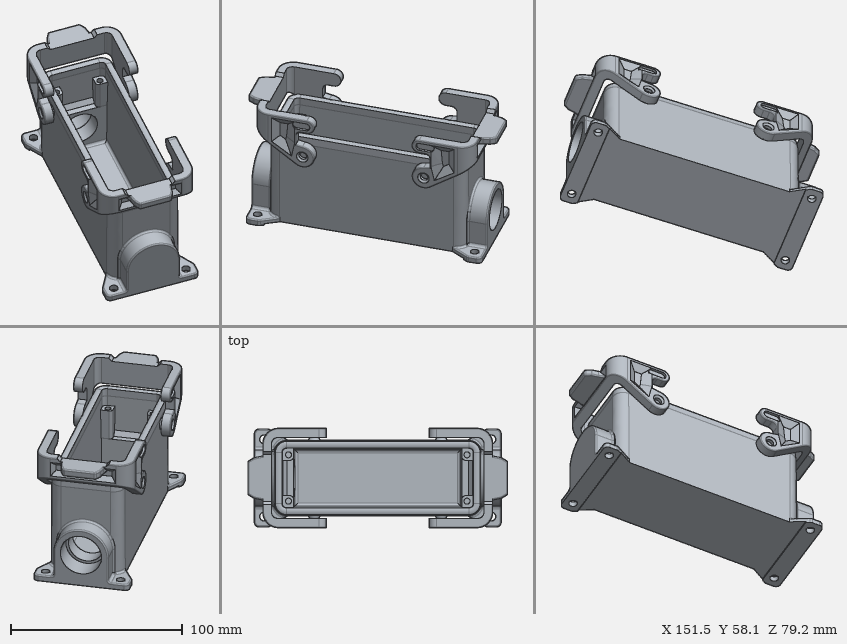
import cadquery as cq
import math

BODY_HALF_X = 60.1
BODY_HALF_Y = 21.8
BODY_CORNER_R = 7.0
BODY_BOTTOM_Z = 0.9
BODY_DRAFT_DEG = 0.3
RIM_START_Z = 57.6
RIM_TOP_Z = 62.3
RIM_DRAFT_DEG = 5.0
RIM_WALL = 3.9
RIM_CROWN = 0.5
RIM_INSET = (RIM_TOP_Z - RIM_START_Z) * math.tan(math.radians(RIM_DRAFT_DEG))

CAVITY_INSET = RIM_INSET + RIM_WALL
CAVITY_HALF_X = BODY_HALF_X - CAVITY_INSET
CAVITY_HALF_Y = BODY_HALF_Y - CAVITY_INSET
CAVITY_CORNER_R = BODY_CORNER_R - CAVITY_INSET
CAVITY_DRAFT_DEG = 1.4
FLOOR_Z = 4.5
FLOOR_FILLET = 1.7
SHELF_INNER_X = 49.1
SHELF_Z = 33.0
SHELF_DRAFT_DEG = 2.0
RAMP_TOP_Z = 36.5
RAMP_FOOT_X = 52.8
POST_TOP_Z = 51.4
POST_INNER_Y = 10.3
POST_CORNER_R = 2.0
POST_HOLE_X = 52.0
POST_HOLE_Y = 13.5
POST_HOLE_R = 1.75
POST_HOLE_DEPTH = 12.0

FOOT_END_X = 72.0
BOSS_R = 16.4
BOSS_AXIS_Z = 20.1
BOSS_BLEND_R = 1.2
STEP_X = 60.9
BORE_R = 12.3
BORE_DEPTH = 13.5
INNER_BORE_R = 10.7
INNER_BORE_DEPTH = 25.0
FOOT_HALF_Y = 28.6
FOOT_TOP_Z = 3.8
FOOT_OUTER_X = 63.6
FOOT_ROOT_X = 52.7
FOOT_ROOT_Y = 22.2
FOOT_CORNER_R = 2.9
FOOT_EDGE_R = 0.8
FOOT_BLEND_R = 1.7
BODY_FOOT_BLEND_R = 1.2
FOOT_HOLE_X = 66.3
FOOT_HOLE_Y = 22.5
FOOT_HOLE_R = 2.45

LEVER_TOP_Z = 79.2
LEVER_END_X = 67.0
LEVER_HALF_Y = 58.07 / 2
LEVER_CORNER_R = 9.2
ARM_THICKNESS = 5.5
END_THICKNESS = 5.1
INNER_CORNER_R = 3.6
ARM_EDGE_R = 0.5
END_BOTTOM_Z = 65.7
PIVOT_X = 37.0
PIVOT_Z = 53.6
PIVOT_R = 7.0
HOOK_R = 4.35
HOOK_TIP_X = 29.9
THROAT_X = 41.0
THROAT_BOTTOM_Z = 61.4
THROAT_R = 3.2

PIN_BASE_R = 3.6
PIN_R = 2.8
PIN_OVERLAP = 0.3
PIN_SINK_R = 3.5
PIN_SINK_DEPTH = 1.2
PIN_HOLE_R = 2.3
PIN_HOLE_DEPTH = 3.0

POCKET_DEPTH = 3.2
ARM_POCKET_MOUTH = [(-55.7, 77.2), (-41.6, 77.2), (-41.6, 62.5), (-43.6, 53.0), (-55.7, 60.8)]
ARM_POCKET_FLOOR = [(-51.5, 72.8), (-46.8, 72.8), (-47.6, 64.0), (-48.2, 61.8), (-51.5, 64.0)]
GROOVE_DEPTH = 1.5
GROOVE_TIP_X = 32.4
GROOVE_ROOT_X = 43.2
GROOVE_TOP_Z = 77.2
GROOVE_BOTTOM_Z = 72.4
END_POCKET_HALF_Y = 19.5
END_POCKET_TOP_Z = 76.2
END_POCKET_BOTTOM_Z = 67.3
END_POCKET_DEPTH = 3.0
END_POCKET_TAPER_DEG = 42.0

TAB_TOP_Z = 77.3
TAB_BOTTOM_Z = 72.8
TAB_END_X = 151.5 / 2
TAB_EDGE_R = 0.8
TAB_CORNER_R = 1.5
TAB_OUTLINE = [(14.5, 0.0), (12.6, 6.4), (11.8, 10.3), (9.7, TAB_END_X - LEVER_END_X + END_THICKNESS)]
NOTCH_HALF_Y = 13.6

REACH = 100.0
GAP = 0.1


def both_ends(shape):
    return shape.union(shape.mirror("YZ"))


def both_sides(shape):
    return shape.union(shape.mirror("XZ"))


def rounded_rect_prism(half_x, half_y, corner_r, start_z, height, draft_deg=0.0):
    """Round-cornered block that shrinks by the draft angle along its extrusion."""
    plane = cq.Workplane("XY", origin=(0, 0, start_z))
    outline = plane.sketch().rect(2 * half_x, 2 * half_y).vertices().fillet(corner_r).finalize()
    return outline.extrude(height, taper=draft_deg)


def body_outer():
    lower = rounded_rect_prism(
        BODY_HALF_X, BODY_HALF_Y, BODY_CORNER_R, RIM_START_Z, BODY_BOTTOM_Z - RIM_START_Z, -BODY_DRAFT_DEG
    )
    rim = rounded_rect_prism(
        BODY_HALF_X, BODY_HALF_Y, BODY_CORNER_R, RIM_START_Z, RIM_TOP_Z - RIM_START_Z, RIM_DRAFT_DEG
    )
    return lower.union(rim)


def rim_crown():
    """Low rounded ridge swept along the middle of the rim wall."""
    inset = RIM_INSET + RIM_WALL / 2
    half_x = BODY_HALF_X - inset
    half_y = BODY_HALF_Y - inset
    corner_r = BODY_CORNER_R - inset
    path = rounded_rect_prism(half_x, half_y, corner_r, RIM_TOP_Z, RIM_CROWN).faces("<Z").wires()
    profile = (
        cq.Workplane("XZ", origin=(0, -half_y, RIM_TOP_Z)).transformed(rotate=(0, 90, 0))
        .moveTo(-RIM_WALL / 2, 0)
        .threePointArc((0, RIM_CROWN), (RIM_WALL / 2, 0))
        .close()
    )
    return profile.sweep(path)


def boss_arch(radius, start_x, end_x):
    """Arch on straight legs, standing on the foot plane between two X positions."""
    length = end_x - start_x
    face = cq.Workplane("YZ", origin=(start_x, 0, 0))
    crown = face.center(0, BOSS_AXIS_Z).circle(radius).extrude(length)
    legs = face.center(0, BOSS_AXIS_Z / 2).rect(2 * radius, BOSS_AXIS_Z).extrude(length)
    return crown.union(legs).clean()


def boss_flare():
    """Concave collar between the boss and the end wall of the body."""
    root_x = -BODY_HALF_X
    half_y = BOSS_R + 2 * BOSS_BLEND_R
    wall = cq.Workplane("YZ", origin=(root_x, 0, 0)).rect(2 * half_y, REACH).extrude(-root_x - SHELF_INNER_X)
    flare = boss_arch(BOSS_R, root_x - 2 * BOSS_BLEND_R, -SHELF_INNER_X).union(wall)
    junction = cq.selectors.BoxSelector(
        (root_x - GAP, -BOSS_R - GAP, GAP), (root_x + GAP, BOSS_R + GAP, BOSS_AXIS_Z + BOSS_R)
    )
    flare = flare.edges(junction).fillet(BOSS_BLEND_R)
    return flare.intersect(boss_arch(BOSS_R + BOSS_BLEND_R, -FOOT_END_X, -SHELF_INNER_X))


def foot_plate():
    """Both -X feet as one plate with round outer corners, slanting back to the body sides."""
    half = [
        (-FOOT_ROOT_X, FOOT_ROOT_Y),
        (-FOOT_OUTER_X, FOOT_HALF_Y),
        (-FOOT_END_X, FOOT_HALF_Y),
    ]
    outline = half + [(x, -y) for x, y in reversed(half)]
    plate = cq.Workplane("XY").polyline(outline).close().extrude(FOOT_TOP_Z)
    return plate.edges("|Z").edges("not >X").fillet(FOOT_CORNER_R)


def end_base():
    """Feet and cable entry boss at the -X end, blended together, with a rounded upper rim."""
    base = foot_plate().union(boss_arch(BOSS_R, -FOOT_END_X, -FOOT_ROOT_X))
    joints = cq.selectors.BoxSelector(
        (-FOOT_END_X, -BOSS_R - GAP, FOOT_TOP_Z - GAP), (-BODY_HALF_X, BOSS_R + GAP, FOOT_TOP_Z + GAP)
    )
    base = base.edges("|X").edges(joints).fillet(FOOT_BLEND_R)
    return base.faces("<X").edges("not <Z").fillet(FOOT_EDGE_R)


def blend_feet(shell):
    """Fillets the feet into the round corners of the body."""
    corners = shell.edges("%CIRCLE").edges(foot_corner_zone(1) + foot_corner_zone(-1))
    return corners.fillet(BODY_FOOT_BLEND_R)


def foot_corner_zone(side):
    """Box around the meeting line of a -X foot and the body corner on one side."""
    y_limits = sorted((side * (BOSS_R + BOSS_BLEND_R), side * BODY_HALF_Y))
    low = (-BODY_HALF_X, y_limits[0], FOOT_TOP_Z - GAP)
    high = (-FOOT_ROOT_X, y_limits[1], FOOT_TOP_Z + GAP)
    return cq.selectors.BoxSelector(low, high)


def foot_underside_step():
    return (
        cq.Workplane("XY", origin=(0, 0, BODY_BOTTOM_Z - REACH))
        .rect(2 * STEP_X, REACH).extrude(REACH)
    )


def foot_holes():
    spots = [(sx * FOOT_HOLE_X, sy * FOOT_HOLE_Y) for sx in (-1, 1) for sy in (-1, 1)]
    return cq.Workplane("XY").pushPoints(spots).circle(FOOT_HOLE_R).extrude(FOOT_TOP_Z)


def cavity():
    """Drafted interior, less the end shelves, the ramps above them and the four screw posts."""
    mouth = rounded_rect_prism(
        CAVITY_HALF_X, CAVITY_HALF_Y, CAVITY_CORNER_R, RIM_START_Z, RIM_TOP_Z - RIM_START_Z
    )
    space = rounded_rect_prism(
        CAVITY_HALF_X, CAVITY_HALF_Y, CAVITY_CORNER_R, RIM_START_Z, FLOOR_Z - RIM_START_Z, CAVITY_DRAFT_DEG
    )
    shelf_profile = [
        (-REACH, FLOOR_Z),
        (-SHELF_INNER_X + (SHELF_Z - FLOOR_Z) * math.tan(math.radians(SHELF_DRAFT_DEG)), FLOOR_Z),
        (-SHELF_INNER_X, SHELF_Z),
        (-RAMP_FOOT_X, SHELF_Z),
        (-CAVITY_HALF_X, RAMP_TOP_Z),
        (-REACH, RAMP_TOP_Z),
    ]
    shelf = cq.Workplane("XZ").polyline(shelf_profile).close().extrude(REACH / 2, both=True)
    post = (
        cq.Workplane("XY", origin=(0, 0, FLOOR_Z))
        .rect(2 * (REACH - SHELF_INNER_X), 2 * (REACH - POST_INNER_Y)).extrude(POST_TOP_Z - FLOOR_Z)
        .edges("|Z").fillet(POST_CORNER_R).translate((-REACH, REACH, 0))
    )
    space = space.cut(both_ends(shelf)).cut(both_ends(both_sides(post)))
    return space.faces("<Z").edges().fillet(FLOOR_FILLET).union(mouth)


def post_holes():
    spots = [(sx * POST_HOLE_X, sy * POST_HOLE_Y) for sx in (-1, 1) for sy in (-1, 1)]
    top = cq.Workplane("XY", origin=(0, 0, POST_TOP_Z))
    return top.pushPoints(spots).circle(POST_HOLE_R).extrude(-POST_HOLE_DEPTH)


def entry_bore():
    face = cq.Workplane("YZ", origin=(-FOOT_END_X, 0, 0)).center(0, BOSS_AXIS_Z)
    entry = face.circle(BORE_R).extrude(BORE_DEPTH)
    return entry.union(face.circle(INNER_BORE_R).extrude(INNER_BORE_DEPTH))


def housing():
    """Drafted box with feet at both ends; only the -X boss is bored through to the cavity."""
    shell = blend_feet(body_outer().union(end_base())).union(boss_flare())
    left_half = cq.Workplane("XY").box(REACH, REACH, 2 * REACH).translate((-REACH / 2, 0, 0))
    shell = both_ends(shell.intersect(left_half))
    shell = shell.cut(foot_underside_step())
    shell = shell.cut(cavity())
    shell = shell.union(rim_crown())
    return shell.cut(foot_holes()).cut(post_holes()).cut(entry_bore())


def eye_point(angle):
    """Point on the rim of the pivot eye, as X and Z."""
    return -PIVOT_X + PIVOT_R * math.cos(angle), PIVOT_Z + PIVOT_R * math.sin(angle)


def arm_outline():
    """Side profile of the lever at the -X end: end wall, hook, throat and pivot eye."""
    run = LEVER_END_X - PIVOT_X
    drop = END_BOTTOM_Z - PIVOT_Z
    underside_angle = -math.atan2(drop, run) - math.asin(PIVOT_R / math.hypot(run, drop))
    tangent_angle = underside_angle - math.pi / 2
    hook_x = -HOOK_TIP_X - HOOK_R
    hook_bottom = LEVER_TOP_Z - 2 * HOOK_R
    arc_inset = THROAT_R * (1 - math.cos(math.pi / 4))
    return (
        cq.Workplane("XZ")
        .moveTo(-LEVER_END_X, LEVER_TOP_Z)
        .lineTo(hook_x, LEVER_TOP_Z)
        .threePointArc((-HOOK_TIP_X, LEVER_TOP_Z - HOOK_R), (hook_x, hook_bottom))
        .lineTo(-THROAT_X + THROAT_R, hook_bottom)
        .threePointArc((-THROAT_X + arc_inset, hook_bottom - arc_inset), (-THROAT_X, hook_bottom - THROAT_R))
        .lineTo(-THROAT_X, THROAT_BOTTOM_Z)
        .lineTo(-PIVOT_X, PIVOT_Z + PIVOT_R)
        .threePointArc((-PIVOT_X + PIVOT_R, PIVOT_Z), eye_point(tangent_angle))
        .lineTo(-LEVER_END_X, END_BOTTOM_Z)
        .close()
    )


def lever_plan():
    """U-shaped plan of the lever with rounded corners, open towards the middle of the part."""
    def block(half_y, end_x, radius):
        tall = cq.Workplane("XY").box(end_x, 2 * half_y, LEVER_TOP_Z, centered=(False, True, False))
        return tall.translate((-end_x, 0, 0)).edges("|Z and <X").fillet(radius)

    outer = block(LEVER_HALF_Y, LEVER_END_X, LEVER_CORNER_R)
    inner = block(LEVER_HALF_Y - ARM_THICKNESS, LEVER_END_X - END_THICKNESS, INNER_CORNER_R)
    return outer.cut(inner)


def arm_pocket():
    """Sloped pocket in the outer face of the -Y arm, with a shallow groove along the hook."""
    face = cq.Workplane("XZ", origin=(0, -LEVER_HALF_Y, 0))
    pocket = (
        face.polyline(ARM_POCKET_MOUTH).close()
        .workplane(offset=-POCKET_DEPTH).polyline(ARM_POCKET_FLOOR).close().loft(ruled=True)
    )
    groove_height = GROOVE_TOP_Z - GROOVE_BOTTOM_Z
    groove = (
        face.center(-(GROOVE_TIP_X + GROOVE_ROOT_X) / 2, (GROOVE_TOP_Z + GROOVE_BOTTOM_Z) / 2)
        .slot2D(GROOVE_ROOT_X - GROOVE_TIP_X, groove_height).extrude(-GROOVE_DEPTH)
    )
    return pocket.union(groove)


def end_pocket():
    return (
        cq.Workplane("YZ", origin=(-LEVER_END_X, 0, 0))
        .center(0, (END_POCKET_TOP_Z + END_POCKET_BOTTOM_Z) / 2)
        .rect(2 * END_POCKET_HALF_Y, END_POCKET_TOP_Z - END_POCKET_BOTTOM_Z)
        .extrude(END_POCKET_DEPTH, taper=END_POCKET_TAPER_DEG)
    )


def tab_notch():
    rise = LEVER_TOP_Z - TAB_TOP_Z
    half = NOTCH_HALF_Y
    profile = [(-half, TAB_TOP_Z), (half, TAB_TOP_Z), (half + rise, LEVER_TOP_Z), (-half - rise, LEVER_TOP_Z)]
    return cq.Workplane("YZ", origin=(-LEVER_END_X, 0, 0)).polyline(profile).close().extrude(END_THICKNESS)


def finger_tab():
    root_x = LEVER_END_X - END_THICKNESS
    right = [(-root_x - out, half_y) for half_y, out in TAB_OUTLINE]
    left = [(x, -y) for x, y in reversed(right)]
    tab = cq.Workplane("XY", origin=(0, 0, TAB_BOTTOM_Z)).polyline(right + left).close()
    tab = tab.extrude(TAB_TOP_Z - TAB_BOTTOM_Z)
    shoulder_x = -root_x - TAB_OUTLINE[-2][1]
    outer_end = cq.selectors.BoxSelector((-REACH, -REACH, 0), (shoulder_x + GAP, REACH, REACH))
    tab = tab.edges("|Z").edges(outer_end).fillet(TAB_CORNER_R)
    return tab.edges("#Z").edges("not >X").fillet(TAB_EDGE_R)


def pivot_pin():
    """Pin from the -Y body wall into the lever eye."""
    inner_y = LEVER_HALF_Y - ARM_THICKNESS
    start_y = BODY_HALF_Y - PIN_OVERLAP
    return (
        cq.Workplane("XZ", origin=(-PIVOT_X, -start_y, PIVOT_Z)).circle(PIN_BASE_R)
        .workplane(offset=inner_y - start_y).circle(PIN_R).loft()
    )


def pin_recess():
    face = cq.Workplane("XZ", origin=(-PIVOT_X, -LEVER_HALF_Y, PIVOT_Z))
    sink = face.circle(PIN_SINK_R).workplane(offset=-PIN_SINK_DEPTH).circle(PIN_HOLE_R).loft()
    return sink.union(face.circle(PIN_HOLE_R).extrude(-PIN_HOLE_DEPTH))


def lever():
    """Lever at the -X end with its pockets, finger tab and pivot pins."""
    arm = arm_outline().extrude(LEVER_HALF_Y, both=True).intersect(lever_plan())
    arm = arm.faces("<Y or >Y").edges("not |Z").fillet(ARM_EDGE_R)
    arm = arm.cut(both_sides(arm_pocket())).cut(end_pocket()).cut(tab_notch())
    arm = arm.cut(both_sides(pin_recess()))
    return arm.union(finger_tab()).union(both_sides(pivot_pin()))


result = housing().union(both_ends(lever()))